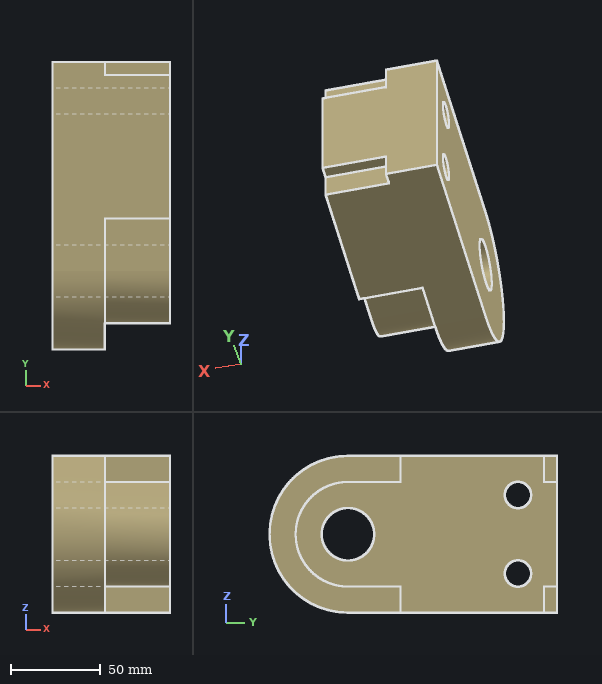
import cadquery as cq

length = 160.3
plate_height = 87.5
plate_thickness = 29.2
total_thickness = 65.5

arm_height = 58.4

block_length = 80.2
block_inset = 7.2

eye_diameter = 29.2
bolt_diameter = 14.6
bolt_back_distance = 21.8
bolt_spacing = 43.8

back_y = length - plate_height / 2
block_back_y = back_y - block_inset
block_front_y = block_back_y - block_length
bolt_y = back_y - bolt_back_distance


def round_ended_bar(height, thickness):
    """Bar from the back end to a half-round front centred on the eye axis."""
    radius = height / 2
    return (
        cq.Workplane("YZ")
        .moveTo(back_y, -radius)
        .lineTo(0, -radius)
        .threePointArc((-radius, 0), (0, radius))
        .lineTo(back_y, radius)
        .close()
        .extrude(thickness)
    )


def through_hole(diameter, y, z):
    """Cutter along X through the whole thickness."""
    return cq.Workplane("YZ").center(y, z).circle(diameter / 2).extrude(total_thickness)


plate = round_ended_bar(plate_height, plate_thickness)
arm = round_ended_bar(arm_height, total_thickness)
block = cq.Workplane("XY").box(
    total_thickness, block_length, plate_height, centered=(False, False, True)
).translate((0, block_front_y, 0))

result = plate.union(arm).union(block)

result = result.cut(through_hole(eye_diameter, 0, 0))
for side in (-1, 1):
    result = result.cut(through_hole(bolt_diameter, bolt_y, side * bolt_spacing / 2))